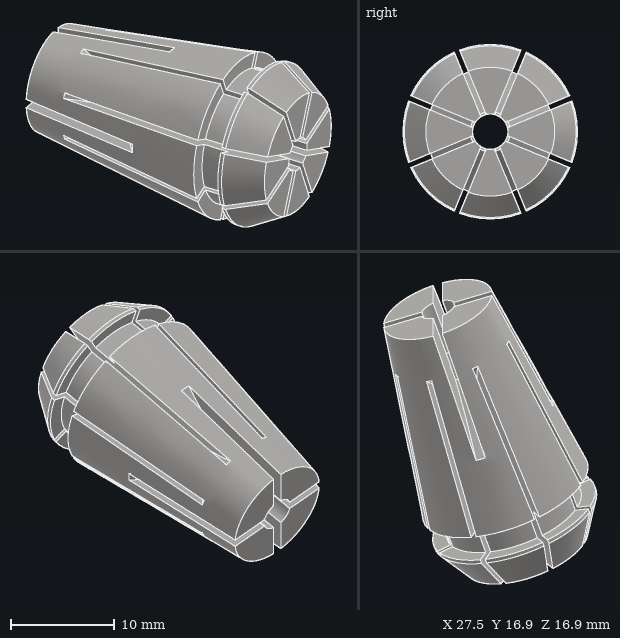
import cadquery as cq
import math

length = 27.5
max_radius = 8.47
taper_length = 20.82
taper_angle = 8.0
neck_radius = 6.9
head_start = 23.48
head_radius = 8.33
head_land = 0.4
nose_angle = 30.0

bore_radius = 1.7
relief_radius = 1.95
relief_start = 5.5
relief_end = 14.3

slot_count = 4
slot_width = 0.94
slot_length = 13.23

slit_count = 8
slit_width = 0.55
slit_start = 4.43

saw_radius = 20.0
saw_overshoot = 0.55


def taper_radius(x):
    """Outer radius of the long taper at a place along the axis."""
    return max_radius - (taper_length - x) * math.tan(math.radians(taper_angle))


def turned_body():
    nose_start = head_start + head_land
    nose_radius = head_radius - (length - nose_start) * math.tan(math.radians(nose_angle))
    outline = [
        (0, 0),
        (0, taper_radius(0)),
        (taper_length, max_radius),
        (taper_length, neck_radius),
        (head_start, neck_radius),
        (head_start, head_radius),
        (nose_start, head_radius),
        (length, nose_radius),
        (length, 0),
    ]
    return cq.Workplane("XY").polyline(outline).close().revolve(360, (0, 0, 0), (1, 0, 0))


def bore():
    through = cq.Workplane("YZ").circle(bore_radius).extrude(length)
    relief = (
        cq.Workplane("YZ", origin=(relief_start, 0, 0))
        .circle(relief_radius)
        .extrude(relief_end - relief_start)
    )
    return through.union(relief)


def saw_cut(rim_x, side, width):
    """Saw blade above the axis whose rim meets the taper at rim_x.

    side is -1 when the blade lies toward the small end and +1 toward the large end.
    """
    centre_height = saw_radius - saw_overshoot
    rise = centre_height - taper_radius(rim_x)
    centre_x = rim_x + side * math.sqrt(saw_radius**2 - rise**2)
    return (
        cq.Workplane("XZ")
        .center(centre_x, centre_height)
        .circle(saw_radius)
        .extrude(width / 2, both=True)
    )


def cut_around_axis(body, cutter, count, first_angle):
    for i in range(count):
        angle = first_angle + i * 360 / count
        body = body.cut(cutter.rotate((0, 0, 0), (1, 0, 0), angle))
    return body


result = turned_body().cut(bore())
result = cut_around_axis(result, saw_cut(slot_length, -1, slot_width), slot_count, 0)
result = cut_around_axis(result, saw_cut(slit_start, 1, slit_width), slit_count, 180 / slit_count)